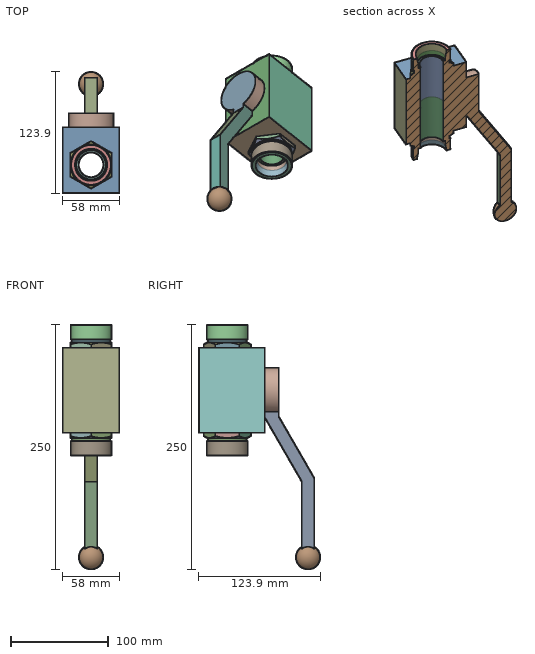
import cadquery as cq
import math

block_width = 58.0
block_height = 87.0
block_front = -block_width / 2
block_back = 38.5
flow_bore_diameter = 25.0

fitting_length = 23.5
hex_across_flats = 42.0
hex_height = 5.5
hex_chamfer_angle = 30.0
hex_crown_diameter = 40.5
thread_diameter = 42.0
thread_length = 15.5
thread_chamfer = 0.8
neck_diameter = 39.5
socket_diameter = 30.0
socket_depth = 13.2
mouth_diameter = 33.0
mouth_depth = 7.5

cap_diameter = 46.0
cap_length = 14.2

lever_width = 13.0
lever_offset = 36.2
lever_angle = 60.0
upper_bend_z = -27.0
ball_diameter = 25.0
ball_center_z = -170.5


def make_block():
    depth = block_back - block_front
    block = cq.Workplane("XY").box(block_width, depth, block_height)
    return block.translate((0, (block_front + block_back) / 2, 0))


def make_hex():
    """Hexagon with its outer corners bevelled, points along Y, base at Z = 0."""
    corner_diameter = hex_across_flats / math.cos(math.radians(30))
    hexagon = cq.Workplane("XY").polygon(6, corner_diameter).extrude(hex_height)
    hexagon = hexagon.rotate((0, 0, 0), (0, 0, 1), 90)
    outer_radius = corner_diameter
    crown_radius = hex_crown_diameter / 2
    bevel_drop = (outer_radius - crown_radius) * math.tan(math.radians(hex_chamfer_angle))
    bevel_envelope = (
        cq.Workplane("XZ")
        .moveTo(0, hex_height)
        .lineTo(crown_radius, hex_height)
        .lineTo(outer_radius, hex_height - bevel_drop)
        .lineTo(0, hex_height - bevel_drop)
        .close()
        .revolve(360, (0, 0), (0, 1))
    )
    return hexagon.intersect(bevel_envelope)


def make_fitting():
    """Solid fitting with its base at Z = 0; the bore is cut later."""
    neck = cq.Workplane("XY").circle(neck_diameter / 2).extrude(fitting_length)
    thread = (
        cq.Workplane("XY", origin=(0, 0, fitting_length - thread_length))
        .circle(thread_diameter / 2)
        .extrude(thread_length)
        .faces("<Z or >Z").edges().chamfer(thread_chamfer)
    )
    return make_hex().union(neck).union(thread)


def make_fitting_bore():
    """Tapered mouth and stepped socket, aligned with make_fitting()."""
    socket_bottom = fitting_length - socket_depth
    mouth_bottom = fitting_length - mouth_depth
    return (
        cq.Workplane("XZ")
        .moveTo(0, socket_bottom)
        .lineTo(socket_diameter / 2, socket_bottom)
        .lineTo(socket_diameter / 2, mouth_bottom)
        .lineTo(mouth_diameter / 2, fitting_length)
        .lineTo(0, fitting_length)
        .close()
        .revolve(360, (0, 0), (0, 1))
    )


def place_at_ends(shape):
    """Move a fitting shape to the top of the block and mirror it to the bottom."""
    upper = shape.translate((0, 0, block_height / 2))
    return upper.union(upper.mirror("XY"))


def make_cap():
    cap = cq.Workplane("XZ", origin=(0, block_back, 0)).circle(cap_diameter / 2)
    return cap.extrude(-cap_length)


def make_lever():
    slope = math.tan(math.radians(lever_angle))
    root_outer = block_back + cap_length
    grip_outer = root_outer + lever_offset
    grip_inner = grip_outer - lever_width
    lower_bend_z = upper_bend_z - lever_offset * slope
    bend_shift = lever_width * math.tan(math.radians((90 - lever_angle) / 2))
    inner_lower_z = lower_bend_z - bend_shift
    inner_upper_z = inner_lower_z + (grip_inner - block_back) * slope
    arm = (
        cq.Workplane("YZ")
        .moveTo(block_back, 0)
        .lineTo(root_outer, 0)
        .lineTo(root_outer, upper_bend_z)
        .lineTo(grip_outer, lower_bend_z)
        .lineTo(grip_outer, ball_center_z)
        .lineTo(grip_inner, ball_center_z)
        .lineTo(grip_inner, inner_lower_z)
        .lineTo(block_back, inner_upper_z)
        .close()
        .extrude(lever_width / 2, both=True)
    )
    ball_center_y = grip_outer - lever_width / 2
    ball = cq.Workplane("XY").sphere(ball_diameter / 2).translate((0, ball_center_y, ball_center_z))
    return arm.union(ball)


flow_bore = (
    cq.Workplane("XY")
    .circle(flow_bore_diameter / 2)
    .extrude(block_height / 2 + fitting_length, both=True)
)

result = make_block().union(place_at_ends(make_fitting()))
result = result.union(make_cap()).union(make_lever())
result = result.cut(place_at_ends(make_fitting_bore())).cut(flow_bore)